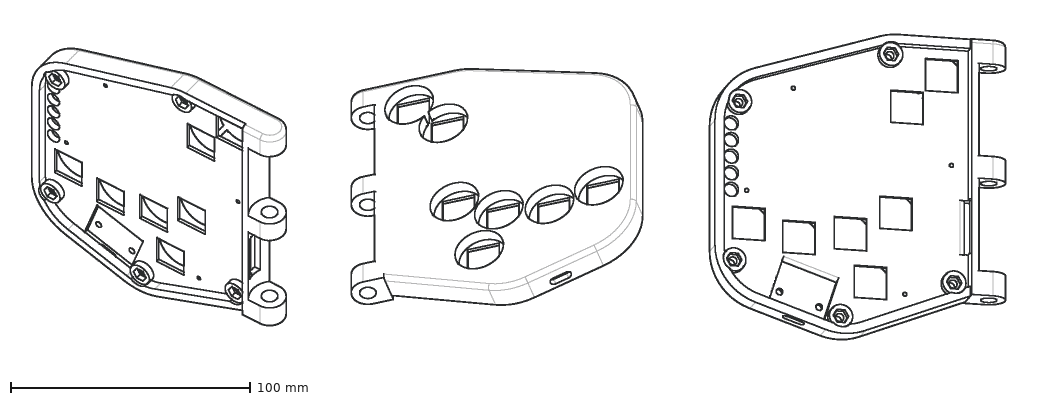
import cadquery as cq
import math


width = 126.0
height = 131.76
rim_depth = 11.5
floor_thickness = 7.2
wall_thickness = 4.0
corner_radius = 25.0
edge_radius = 2.0

hinge_x = 110.0
hinge_bottom = 20.0
hinge_depth = 14.0
knuckle_radius = hinge_depth / 2
hinge_axis_x = width - knuckle_radius
hinge_pin_diameter = 6.85
pin_end_cover = 3.0
hinge_gaps = [(30.6, 70.8), (80.7, 120.8)]
gap_front_x = 113.1
gap_middle_x = 110.9
gap_back_x = 114.0

slope_angle = math.radians(18.0)
top_corner_x = 75.0
lower_left_corner_z = 16.65
slope = math.tan(slope_angle)
bottom_arc_x = (lower_left_corner_z + corner_radius / math.cos(slope_angle) - corner_radius) / slope
hinge_run = hinge_x - bottom_arc_x
hinge_drop = corner_radius - hinge_bottom
right_slope_angle = (
    math.asin(corner_radius / math.hypot(hinge_run, hinge_drop)) - math.atan2(hinge_drop, hinge_run)
)
bottom_corner_reach = corner_radius / math.cos((slope_angle + right_slope_angle) / 2)
bottom_corner_turn = (right_slope_angle - slope_angle) / 2
outline_corners = [
    (top_corner_x, height),
    (0, height - top_corner_x * slope),
    (0, lower_left_corner_z),
    (
        bottom_arc_x + bottom_corner_reach * math.sin(bottom_corner_turn),
        corner_radius - bottom_corner_reach * math.cos(bottom_corner_turn),
    ),
]

switch_size = 14.0
switch_plate_thickness = 1.5
switch_relief_diameter = 21.2
switch_centers = [
    (98.8, 116.4), (83.8, 101.6), (79.0, 55.1), (15.7, 46.4),
    (37.3, 41.8), (59.5, 44.9), (68.1, 24.3),
]

boss_centers = [(76.2, 123.4), (11.1, 98.5), (8.65, 29.4), (54.6, 7.9), (103.4, 25.8)]
boss_diameter = 10.0
boss_height = 3.0
nut_width = 5.6
nut_depth = 2.5
screw_diameter = 3.5
screw_depth = 7.0

magnet_x = 8.1
magnet_top_z = 89.6
magnet_pitch = 7.23
magnet_count = 5
magnet_diameter = 6.1
magnet_depth = 3.0

pilot_centers = [(34.8, 106.6), (102.9, 77.6), (14.7, 60.7), (82.8, 20.1)]
pilot_diameter = 1.65
pilot_depth = 4.0

bay_x = 34.7
bay_width = 24.9
bay_start = 2.8
bay_end = 25.1
bay_depth = 2.6
bay_edge_radius = 1.5
bay_hole_diameter = 2.8
bay_hole_depth = 2.0
bay_hole_spacing = 17.95
bay_hole_distance = 10.7
port_width = 9.5
port_height = 3.6
port_depth = 7.6
port_length = 3.0

slot_left_x = 106.4
slot_bottom = 39.0
slot_top = 62.6
slot_back = 3.4
slot_front = 10.4
slot_roll_width = 2.3
slot_roll_radius = 2.8


def front_plane(depth):
    """Sketch plane facing -Y, at the given distance in front of the back face."""
    return cq.Workplane("XZ", origin=(0, -depth, 0))


def drill(body, centers, diameter, top, depth):
    """Cut blind round holes of the given depth, starting from a level above the back face."""
    holes = front_plane(top - depth).pushPoints(centers).circle(diameter / 2).extrude(depth)
    return body.cut(holes)


def block(x_range, depth_range, z_range):
    """Box given by its limits; depths are measured from the back face."""
    spans = [x_range, depth_range, z_range]
    sizes = [end - start for start, end in spans]
    corner = (x_range[0], -depth_range[1], z_range[0])
    return cq.Workplane("XY").box(*sizes, centered=False).translate(corner)


def outline_prism(right_x, thickness):
    """Case outline with rounded corners, its sloped side carried on to right_x."""
    right_bottom = hinge_bottom + (right_x - hinge_x) * math.tan(right_slope_angle)
    points = [(right_x, height)] + outline_corners + [(right_x, right_bottom)]
    prism = front_plane(0).polyline(points).close().extrude(thickness)
    return prism.edges("|Y").edges("not >X").fillet(corner_radius)


def make_shell():
    """Case with a rounded back edge, hollowed from the front up to the hinge wall."""
    shell = outline_prism(hinge_x, rim_depth)
    shell = shell.faces(">Y").edges("not >X").fillet(edge_radius)
    rim = outline_prism(hinge_x + wall_thickness, rim_depth).faces("<Y").wires().toPending()
    pocket = rim.workplane().offset2D(-wall_thickness).extrude(
        floor_thickness - rim_depth, combine=False
    )
    return shell.cut(pocket)


def make_hinge():
    """Hinge wall with a half-round outer side, rounded around its top end."""
    hinge = (
        cq.Workplane("XY", origin=(0, 0, hinge_bottom))
        .moveTo(hinge_x, 0)
        .lineTo(hinge_axis_x, 0)
        .threePointArc((width, -knuckle_radius), (hinge_axis_x, -hinge_depth))
        .lineTo(hinge_x, -hinge_depth)
        .close()
        .extrude(height - hinge_bottom)
    )
    return hinge.faces(">Z").edges("not <X").fillet(edge_radius)


def cut_hinge_gaps(body):
    for bottom, top in hinge_gaps:
        gap = (
            cq.Workplane("XY", origin=(0, 0, bottom))
            .moveTo(width, 0)
            .lineTo(gap_back_x, 0)
            .threePointArc((gap_middle_x, -hinge_depth / 2), (gap_front_x, -hinge_depth))
            .lineTo(width, -hinge_depth)
            .close()
            .extrude(top - bottom)
        )
        body = body.cut(gap)
    return body


def cut_pin_bore(body):
    bore = (
        cq.Workplane("XY", origin=(hinge_axis_x, -knuckle_radius, hinge_bottom))
        .circle(hinge_pin_diameter / 2)
        .extrude(height - pin_end_cover - hinge_bottom)
    )
    return body.cut(bore)


def cut_switches(body):
    openings = front_plane(0).pushPoints(switch_centers).rect(switch_size, switch_size)
    body = body.cut(openings.extrude(floor_thickness))
    relief_depth = floor_thickness - switch_plate_thickness
    return drill(body, switch_centers, switch_relief_diameter, relief_depth, relief_depth)


def add_bosses(body):
    top = floor_thickness + boss_height
    bosses = front_plane(floor_thickness).pushPoints(boss_centers).circle(boss_diameter / 2)
    body = body.union(bosses.extrude(boss_height))
    body = drill(body, boss_centers, boss_diameter, rim_depth, rim_depth - top)
    nut_corners = nut_width / math.cos(math.pi / 6)
    nuts = front_plane(top - nut_depth).pushPoints(boss_centers).polygon(6, nut_corners)
    body = body.cut(nuts.extrude(nut_depth))
    return drill(body, boss_centers, screw_diameter, top, screw_depth)


def cut_magnet_pockets(body):
    centers = [(magnet_x, magnet_top_z - i * magnet_pitch) for i in range(magnet_count)]
    return drill(body, centers, magnet_diameter, floor_thickness, magnet_depth)


def cut_connector_bay(body):
    """Bay, its two screw holes and the port, built upright and then tilted into place."""
    bay_floor = floor_thickness - bay_depth
    half_width = bay_width / 2
    bay = (
        cq.Workplane("YZ", origin=(-half_width, 0, 0))
        .moveTo(-floor_thickness, bay_start)
        .lineTo(-bay_floor, bay_start)
        .lineTo(-bay_floor, bay_end - bay_edge_radius)
        .lineTo(bay_edge_radius - floor_thickness, bay_end - bay_edge_radius)
        .radiusArc((-floor_thickness, bay_end), bay_edge_radius)
        .close()
        .extrude(bay_width)
    )
    hole_centers = [(side * bay_hole_spacing / 2, bay_hole_distance) for side in (-1, 1)]
    holes = (
        front_plane(bay_floor - bay_hole_depth)
        .pushPoints(hole_centers)
        .circle(bay_hole_diameter / 2)
        .extrude(bay_hole_depth)
    )
    port = (
        cq.Workplane("XY", origin=(0, -port_depth, 0))
        .slot2D(port_width, port_height)
        .extrude(port_length)
    )
    tool = bay.union(holes).union(port)
    tool = tool.rotate((0, 0, 0), (0, 1, 0), math.degrees(slope_angle))
    return body.cut(tool.translate((bay_x, 0, lower_left_corner_z - bay_x * slope)))


def cut_cable_slot(body):
    """Slot through the hinge wall whose floor edge is rolled over for the cable."""
    edge_x = slot_left_x + slot_roll_width
    slot = block((edge_x, hinge_axis_x), (slot_back, slot_front), (slot_bottom, slot_top))
    roll_center_depth = floor_thickness - slot_roll_radius
    roll_corner = block(
        (slot_left_x, edge_x), (roll_center_depth, floor_thickness), (slot_bottom, slot_top)
    )
    roll = (
        cq.Workplane("XY", origin=(slot_left_x, -roll_center_depth, slot_bottom))
        .circle(slot_roll_radius)
        .extrude(slot_top - slot_bottom)
    )
    return body.cut(slot).cut(roll_corner.cut(roll))


result = make_shell().union(make_hinge())
result = cut_hinge_gaps(result)
result = cut_pin_bore(result)
result = cut_switches(result)
result = add_bosses(result)
result = cut_magnet_pockets(result)
result = drill(result, pilot_centers, pilot_diameter, floor_thickness, pilot_depth)
result = cut_connector_bay(result)
result = cut_cable_slot(result)